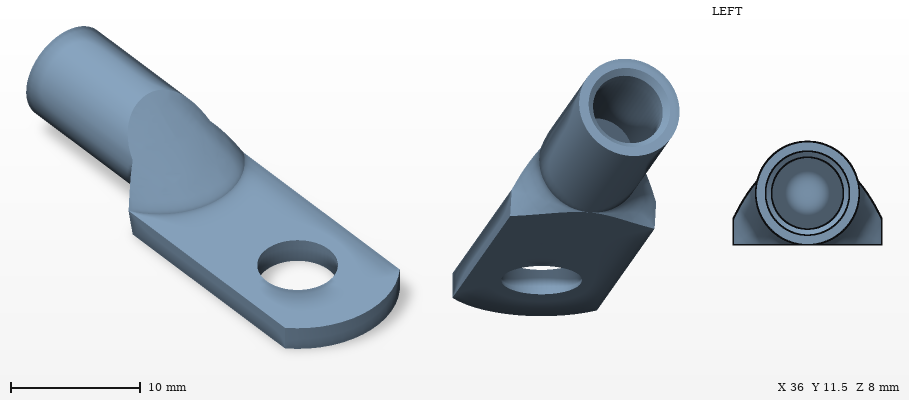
import cadquery as cq
import math

length = 36.0
palm_width = 11.5
palm_thickness = 2.0
barrel_diameter = 8.0
barrel_radius = barrel_diameter / 2

bore_diameter = 5.55
bore_depth = 10.08
mouth_chamfer = 0.45

side_end_x = 33.5
hole_x = 28.08
hole_diameter = 6.23

flare_start_x = 12.78
flare_end_x = 15.05
half_width = palm_width / 2
flare_end_radius = math.hypot(barrel_radius, half_width)
flare_corner_radius = math.hypot(barrel_radius - palm_thickness, half_width)

slope_top_x = 10.08
slope_foot_x = 17.9
slope_corner_x = 14.55
mouth_overrun = 3.6


def make_flared_blank():
    """Solid of revolution about the barrel axis, trimmed to the overall size."""
    profile = (
        cq.Workplane("XZ")
        .moveTo(0, 0)
        .lineTo(0, barrel_radius)
        .lineTo(flare_start_x, barrel_radius)
        .threePointArc((slope_corner_x, flare_corner_radius), (flare_end_x, flare_end_radius))
        .lineTo(length, flare_end_radius)
        .lineTo(length, 0)
        .close()
    )
    body = profile.revolve(360, (0, 0, 0), (1, 0, 0)).translate((0, 0, barrel_radius))
    envelope = cq.Workplane("XY").box(
        length, palm_width, barrel_diameter, centered=(False, True, False)
    )
    return body.intersect(envelope)


def make_slope_keeper():
    """Oblique cylinder whose every level section is the same curved front, moved along the slope."""
    run_per_rise = (slope_foot_x - slope_top_x) / (barrel_diameter - palm_thickness)
    front_sag = slope_foot_x - slope_corner_x
    front_radius = (half_width**2 + front_sag**2) / (2 * front_sag)
    back_x = -mouth_overrun

    def section(z):
        tip_x = slope_foot_x - (z - palm_thickness) * run_per_rise
        center_x = tip_x - front_radius
        outline = (
            cq.Workplane("XY", origin=(0, 0, z))
            .moveTo(back_x, -front_radius)
            .lineTo(center_x, -front_radius)
            .threePointArc((tip_x, 0), (center_x, front_radius))
            .lineTo(back_x, front_radius)
            .close()
        )
        return outline.val()

    return cq.Workplane(cq.Solid.makeLoft([section(0), section(barrel_diameter)], True))


def make_palm():
    """Flat plate with a rounded end, starting inside the flare, which trims its corners."""
    return (
        cq.Workplane("XY")
        .moveTo(flare_start_x, -half_width)
        .lineTo(side_end_x, -half_width)
        .threePointArc((length, 0), (side_end_x, half_width))
        .lineTo(flare_start_x, half_width)
        .close()
        .extrude(palm_thickness)
    )


def make_socket():
    """Blind bore with a chamfered mouth."""
    bore_radius = bore_diameter / 2
    return (
        cq.Workplane("XZ")
        .moveTo(0, 0)
        .lineTo(0, bore_radius + mouth_chamfer)
        .lineTo(mouth_chamfer, bore_radius)
        .lineTo(bore_depth, bore_radius)
        .lineTo(bore_depth, 0)
        .close()
        .revolve(360, (0, 0, 0), (1, 0, 0))
        .translate((0, 0, barrel_radius))
    )


bolt_hole = cq.Workplane("XY").center(hole_x, 0).circle(hole_diameter / 2).extrude(palm_thickness)

result = (
    make_flared_blank()
    .intersect(make_slope_keeper().union(make_palm()))
    .cut(make_socket())
    .cut(bolt_hole)
)